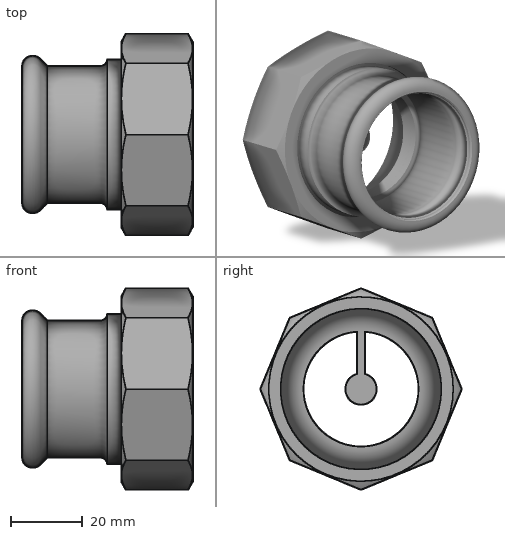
import cadquery as cq
import math

total_length = 47.7
nut_length = 20.0
nut_start = total_length - nut_length

nut_corners = 56.3
nut_sides = 8
nut_flats = nut_corners * math.cos(math.pi / nut_sides)
nut_back_diameter = 51.45
nut_chamfer_angle = 30.0
nut_entry_diameter = 43.8

tube_radius = 38.4 / 2
bore_radius = 35.3 / 2
passage_radius = 32.0 / 2
blend_start = 21.95
stop_start = 25.9
collar_radius = 42.0 / 2
blend_radius = collar_radius - tube_radius
collar_start = blend_start + blend_radius
flange_radius = 44.85 / 2
cone_inset = 0.35
cone_start = nut_start + cone_inset
flange_start = cone_start + flange_radius - collar_radius
flange_length = 2.8
flange_end = flange_start + flange_length

bead_outer_radius = 44.0 / 2
bead_round = 3.0
bead_center = bead_outer_radius - bead_round
mouth_radius = 36.6 / 2
lip_radius = 35.9 / 2
lip_depth = 0.45
lip_end = 1.25
wall = tube_radius - bore_radius
groove_round = bead_round - wall
groove_front = bead_round - groove_round
groove_blend_length = 1.0

disc_diameter = 8.8
arm_width = 2.25
disc_thickness = 1.1
arm_embed = 0.55


def make_sleeve_shell():
    """Revolve the hollow sleeve, with its bead, seal groove, collar and retaining flange."""
    diagonal = math.sqrt(0.5)
    bead_exit_x = bead_round * (1 + diagonal)
    bead_exit_radius = bead_center + bead_round * diagonal
    taper_end = bead_exit_x + bead_exit_radius - tube_radius
    groove_exit_x = bead_round + groove_round * diagonal
    groove_exit_radius = bead_center + groove_round * diagonal
    groove_corner = groove_exit_x + groove_exit_radius - bore_radius
    blend_end = groove_corner + groove_blend_length
    half_turn = math.radians(22.5)
    groove_blend_radius = groove_blend_length / math.tan(half_turn)
    groove_blend_mid = (
        blend_end - groove_blend_radius * math.sin(half_turn),
        bore_radius + groove_blend_radius * (1 - math.cos(half_turn)),
    )
    blend_mid = (
        blend_start + blend_radius * diagonal,
        collar_radius - blend_radius * diagonal,
    )
    profile = (
        cq.Workplane("XY")
        .moveTo(0, mouth_radius)
        .lineTo(0, bead_center)
        .threePointArc(
            (bead_round * (1 - diagonal), bead_exit_radius),
            (bead_exit_x, bead_exit_radius),
        )
        .lineTo(taper_end, tube_radius)
        .lineTo(blend_start, tube_radius)
        .threePointArc(blend_mid, (collar_start, collar_radius))
        .lineTo(cone_start, collar_radius)
        .lineTo(flange_start, flange_radius)
        .lineTo(flange_end, flange_radius)
        .lineTo(flange_end, passage_radius)
        .lineTo(stop_start, passage_radius)
        .lineTo(stop_start, bore_radius)
        .lineTo(blend_end, bore_radius)
        .threePointArc(
            groove_blend_mid,
            (
                groove_corner - groove_blend_length * diagonal,
                bore_radius + groove_blend_length * diagonal,
            ),
        )
        .lineTo(groove_exit_x, groove_exit_radius)
        .threePointArc(
            (bead_round - groove_round * diagonal, groove_exit_radius),
            (groove_front, bead_center),
        )
        .lineTo(groove_front, bore_radius)
        .lineTo(lip_end, lip_radius)
        .lineTo(lip_depth, lip_radius)
        .close()
    )
    return profile.revolve(360, (0, 0, 0), (1, 0, 0))


def make_disc_and_arm():
    """Central disc with one arm reaching up into the sleeve wall."""
    plane = cq.Workplane("YZ", origin=(flange_end - disc_thickness, 0, 0))
    disc = plane.circle(disc_diameter / 2).extrude(disc_thickness)
    arm_length = passage_radius + arm_embed
    arm = plane.center(0, arm_length / 2).rect(arm_width, arm_length).extrude(disc_thickness)
    return disc.union(arm)


def make_sleeve():
    return make_sleeve_shell().union(make_disc_and_arm())


def make_chamfer_envelope():
    """Turned outline that trims the octagon corners at both end faces."""
    corner_radius = nut_corners / 2
    slope = math.tan(math.radians(nut_chamfer_angle))
    front_radius = nut_flats / 2
    back_radius = nut_back_diameter / 2
    front_depth = (corner_radius - front_radius) * slope
    back_depth = (corner_radius - back_radius) * slope
    outline = [
        (nut_start, 0),
        (nut_start, front_radius),
        (nut_start + front_depth, corner_radius),
        (total_length - back_depth, corner_radius),
        (total_length, back_radius),
        (total_length, 0),
    ]
    return cq.Workplane("XY").polyline(outline).close().revolve(360, (0, 0, 0), (1, 0, 0))


def make_nut_cavity():
    """Through cavity: plain entry, 45 degree seat for the flange cone, then a straight chamber."""
    entry_radius = nut_entry_diameter / 2
    seat_start = cone_start + entry_radius - collar_radius
    outline = [
        (nut_start, 0),
        (nut_start, entry_radius),
        (seat_start, entry_radius),
        (flange_start, flange_radius),
        (total_length, flange_radius),
        (total_length, 0),
    ]
    return cq.Workplane("XY").polyline(outline).close().revolve(360, (0, 0, 0), (1, 0, 0))


def make_nut():
    """Octagonal nut whose conical seat bears on the sleeve flange."""
    plane = cq.Workplane("YZ", origin=(nut_start, 0, 0))
    blank = plane.polygon(nut_sides, nut_corners).extrude(nut_length)
    return blank.intersect(make_chamfer_envelope()).cut(make_nut_cavity())


sleeve = make_sleeve()
nut = make_nut()

result = cq.Compound.makeCompound([sleeve.val(), nut.val()])